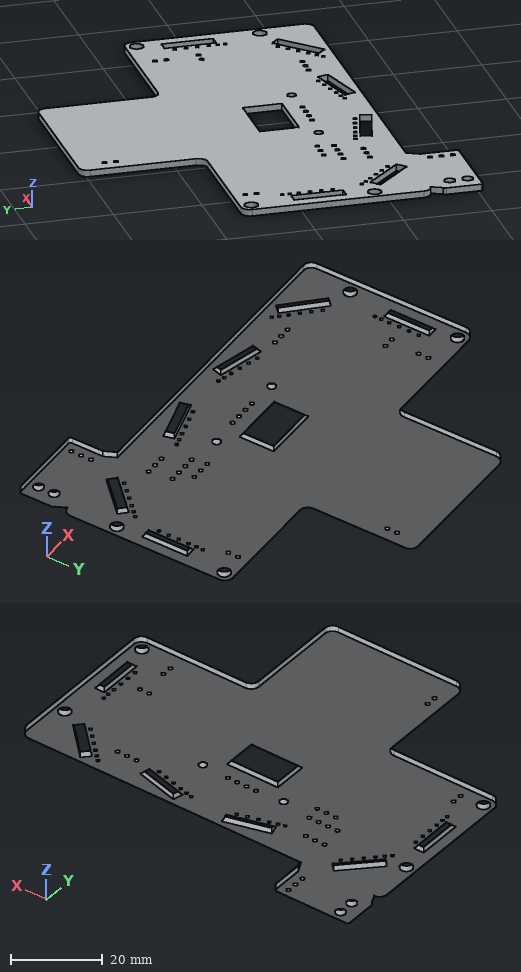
import cadquery as cq

thickness = 1.6
length = 98.2
depth = 82.5
half_length = length / 2
top_y = depth / 2
bottom_y = -depth / 2
panel_top_y = 13.2
panel_bottom_y = -29.8
upper_tab_half_width = 18.2
corner_radius = 2.1

lower_tab_left = -48.7
lower_tab_right = -28.6
lower_tab_top_y = -32.2
lower_tab_radius = 0.6
neck_bottom_y = lower_tab_top_y - lower_tab_radius
neck_bottom_left = -48.6
neck_bottom_right = -28.7
neck_lean = 1.5

mount_hole_diameter = 3.0
mount_hole_x = 46.5
mount_hole_ys = (10.6, -17.3)

window_width = 13.8
window_height = 8.8
window_center_y = -6.8
locating_hole_diameter = 2.0
locating_hole_x = 11.0
locating_hole_y = -14.5

cable_hole_diameter = 2.5
cable_hole_x = -44.8
cable_hole_ys = (-34.8, -38.8)

slot_length = 11.7
slot_width = 2.6
sensor_pin_diameter = 0.7
sensor_pin_offset = 2.4
sensor_pin_positions = (7.6, 5.9, 3.8, 1.3, -1.3, -3.8)
sensor_stations = (
    (-45.1, -5.0, 0),
    (-37.9, -22.8, 45),
    (-9.8, -25.5, 75),
    (14.0, -25.5, 105),
    (37.2, -23.4, 135),
    (45.1, -0.8, 180),
)

header_pitch = 2.6
large_pin_diameter = 1.0
medium_pin_diameter = 0.95
small_pin_diameter = 0.9
horizontal_headers = (
    (35.7, -1.1, 2, medium_pin_diameter),
    (-23.5, -12.2, 3, small_pin_diameter),
    (-26.6, -15.8, 4, large_pin_diameter),
    (-3.8, -15.0, 4, large_pin_diameter),
    (-27.4, -21.5, 3, large_pin_diameter),
    (23.6, -21.9, 3, large_pin_diameter),
)
vertical_headers = (
    (-14.9, 35.0, 2, large_pin_diameter),
    (-40.6, 10.3, 2, medium_pin_diameter),
    (37.5, 8.9, 2, medium_pin_diameter),
    (-30.9, -34.2, 3, large_pin_diameter),
)


def plate(left, right, low, high):
    """Flat block of board thickness spanning the given limits."""
    center = ((left + right) / 2, (low + high) / 2)
    return cq.Workplane("XY").center(*center).rect(right - left, high - low).extrude(thickness)


def hole_cutter(points, diameter):
    """Round cutters through the board at the given points."""
    return cq.Workplane("XY").pushPoints(points).circle(diameter / 2).extrude(thickness)


def make_board():
    """Solid board with its rounded outer outline."""
    panel = plate(-half_length, half_length, panel_bottom_y, panel_top_y)
    upper_tab = plate(-upper_tab_half_width, upper_tab_half_width, panel_bottom_y, top_y)
    board = panel.union(upper_tab).edges("|Z").fillet(corner_radius)

    lower_tab = plate(lower_tab_left, lower_tab_right, bottom_y, lower_tab_top_y)
    lower_tab = lower_tab.edges("|Z").fillet(lower_tab_radius)
    neck = (
        cq.Workplane("XY")
        .moveTo(neck_bottom_left, neck_bottom_y)
        .lineTo(neck_bottom_right, neck_bottom_y)
        .lineTo(neck_bottom_right + neck_lean, panel_bottom_y)
        .lineTo(neck_bottom_left + neck_lean, panel_bottom_y)
        .close()
        .extrude(thickness)
    )
    return board.union(neck).union(lower_tab)


def sensor_cutter(x, y, angle):
    """Slot and pin row of one sensor station, turned about the slot center."""
    slot = cq.Workplane("XY").rect(slot_width, slot_length).extrude(thickness)
    pins = hole_cutter([(sensor_pin_offset, along) for along in sensor_pin_positions], sensor_pin_diameter)
    return slot.add(pins).combine().rotate((0, 0, 0), (0, 0, 1), angle).translate((x, y, 0))


def header_cutter(x, y, count, diameter, step_x, step_y):
    """Evenly spaced row of pin holes starting at the given point."""
    points = [(x + i * step_x, y + i * step_y) for i in range(count)]
    return hole_cutter(points, diameter)


result = make_board()

mount_points = [(side * mount_hole_x, y) for side in (-1, 1) for y in mount_hole_ys]
locating_points = [(side * locating_hole_x, locating_hole_y) for side in (-1, 1)]
cable_points = [(cable_hole_x, y) for y in cable_hole_ys]
result = result.cut(hole_cutter(mount_points, mount_hole_diameter))
result = result.cut(hole_cutter(locating_points, locating_hole_diameter))
result = result.cut(hole_cutter(cable_points, cable_hole_diameter))

for header in horizontal_headers:
    result = result.cut(header_cutter(*header, header_pitch, 0))
for header in vertical_headers:
    result = result.cut(header_cutter(*header, 0, -header_pitch))

window = cq.Workplane("XY").center(0, window_center_y).rect(window_width, window_height).extrude(thickness)
result = result.cut(window)

for station in sensor_stations:
    result = result.cut(sensor_cutter(*station))